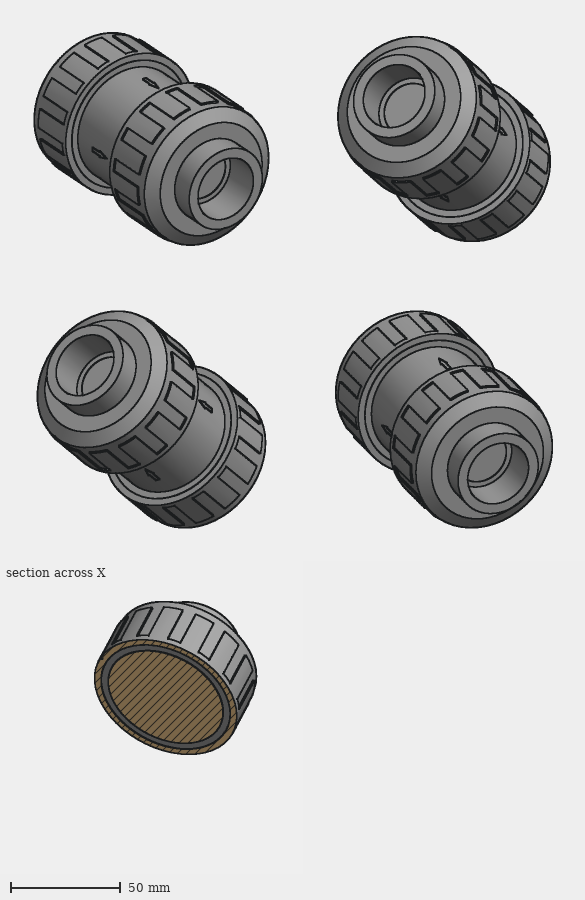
import cadquery as cq

total_length = 123.0

pipe_radius = 19.9
socket_radius = 15.1
socket_depth = 19.2
body_radius = 28.0

recess_depth = 0.2
socket_recess_radius = 12.5
nut_recess_radius = 31.4

nut_length = 31.2
nut_middle = total_length / 2
nut_outer_start = 12.0
nut_radius = 34.0
nut_end_radius = 27.8
nut_bevel_length = 3.8

grip_diameter = 69.5
grip_radius = grip_diameter / 2
collar_length = 3.0
tooth_length = 19.8
tooth_count = 14
tooth_angle = 15.4
tooth_center_angle = 4.9
grip_overlap = 1.2
grip_root_radius = nut_radius - grip_overlap
cut_clearance = 0.6

arrow_length = 11.8
arrow_start = (total_length - arrow_length) / 2
arrow_head_length = arrow_length / 2
arrow_shaft_width = 2.0
arrow_head_width = 3.2
arrow_height = 0.4
arrow_count = 4


def cylinder_x(start, length, radius):
    return cq.Workplane("YZ", origin=(start, 0, 0)).circle(radius).extrude(length)


def make_gap(start, end, center_angle, sweep):
    """Cutter between two teeth, centred on an angle measured upwards from -Y."""
    inner_radius = grip_root_radius - cut_clearance
    outer_radius = grip_radius + cut_clearance
    gap = (
        cq.Workplane("XY")
        .moveTo(start - cut_clearance, -inner_radius)
        .lineTo(end, -inner_radius)
        .lineTo(end, -outer_radius)
        .lineTo(start - cut_clearance, -outer_radius)
        .close()
        .revolve(sweep, (0, 0, 0), (1, 0, 0))
    )
    return gap.rotate((0, 0, 0), (1, 0, 0), -center_angle - sweep / 2)


def make_grip(start, end):
    """Toothed ring whose plain collar ends at the given end."""
    length = end - start
    ring = cylinder_x(start, length, grip_radius).cut(cylinder_x(start, length, grip_root_radius))
    pitch = 360 / tooth_count
    for index in range(tooth_count):
        gap_center = tooth_center_angle + (index + 0.5) * pitch
        ring = ring.cut(make_gap(start, end - collar_length, gap_center, pitch - tooth_angle))
    return ring


def make_nut():
    """Union nut at the inlet end, with its bevelled face towards -X."""
    inner_end = nut_outer_start + nut_length
    core = (
        cq.Workplane("XY")
        .moveTo(nut_outer_start, 0)
        .lineTo(nut_outer_start, nut_end_radius)
        .lineTo(nut_outer_start + nut_bevel_length, nut_radius)
        .lineTo(inner_end, nut_radius)
        .lineTo(inner_end, 0)
        .close()
        .revolve(360, (0, 0, 0), (1, 0, 0))
    )
    nut = core.union(make_grip(inner_end - collar_length - tooth_length, inner_end))
    return nut.cut(cylinder_x(inner_end - recess_depth, recess_depth, nut_recess_radius))


def make_arrow():
    """Arrow on the +Z side, curved to follow the body."""
    neck = arrow_start + arrow_length - arrow_head_length
    outline = (
        cq.Workplane("XY")
        .moveTo(arrow_start, -arrow_shaft_width / 2)
        .lineTo(neck, -arrow_shaft_width / 2)
        .lineTo(neck, -arrow_head_width / 2)
        .lineTo(arrow_start + arrow_length, 0)
        .lineTo(neck, arrow_head_width / 2)
        .lineTo(neck, arrow_shaft_width / 2)
        .lineTo(arrow_start, arrow_shaft_width / 2)
        .close()
        .extrude(body_radius + 2 * arrow_height)
    )
    return outline.intersect(cylinder_x(0, total_length, body_radius + arrow_height))


inlet_nut = make_nut()
outlet_nut = inlet_nut.rotate((nut_middle, 0, 0), (nut_middle, 1, 0), 180)
result = inlet_nut.union(outlet_nut)

body_start = nut_outer_start + nut_length / 2
result = result.union(cylinder_x(0, total_length, pipe_radius))
result = result.union(cylinder_x(body_start, 2 * (nut_middle - body_start), body_radius))

for index in range(arrow_count):
    arrow = make_arrow().rotate((0, 0, 0), (1, 0, 0), index * 360 / arrow_count)
    result = result.union(arrow)

recess_bottom = socket_depth + recess_depth
for depth, radius in ((socket_depth, socket_radius), (recess_bottom, socket_recess_radius)):
    result = result.cut(cylinder_x(0, depth, radius))
    result = result.cut(cylinder_x(total_length - depth, depth, radius))